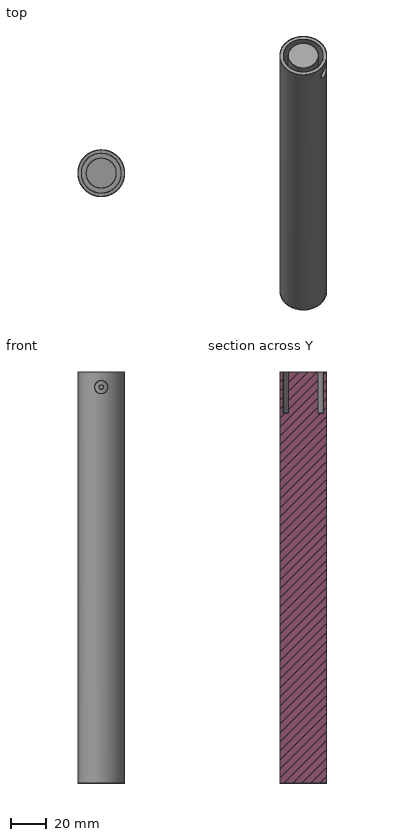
import cadquery as cq

length = 231.5
rod_diameter = 26.5

groove_outer_diameter = 22.5
core_diameter = 17.0
groove_depth = 23.1

hole_drop = 8.5
wall_hole_diameter = 7.5
core_hole_diameter = 2.5

rod_radius = rod_diameter / 2
core_radius = core_diameter / 2
hole_height = length - hole_drop


def radial_hole(diameter, depth):
    """Cutter running inward from the -Y side of the rod."""
    start = cq.Vector(0, -rod_radius, hole_height)
    inward = cq.Vector(0, 1, 0)
    return cq.Workplane(obj=cq.Solid.makeCylinder(diameter / 2, depth, start, inward))


rod = cq.Workplane("XY").circle(rod_radius).extrude(length)

groove = (
    cq.Workplane("XY", origin=(0, 0, length - groove_depth))
    .circle(groove_outer_diameter / 2)
    .circle(core_radius)
    .extrude(groove_depth)
)

wall_hole = radial_hole(wall_hole_diameter, rod_radius - core_radius)
core_hole = radial_hole(core_hole_diameter, rod_radius)

result = rod.cut(groove).cut(wall_hole).cut(core_hole)